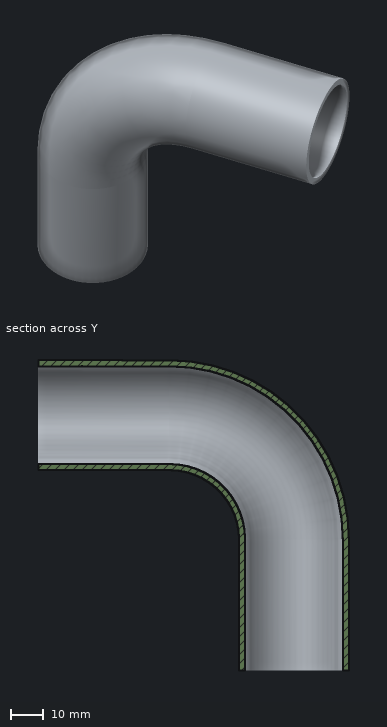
import cadquery as cq

outer_diameter = 33.7
bore_diameter = 29.7
bend_radius = 38.0
leg_length = 40.0
bend_angle = 90.0


def swept_elbow(diameter):
    """Solid elbow: a leg rising along Z, a bend, then a leg running along +X."""
    radius = diameter / 2
    lower_leg = cq.Workplane("XY").circle(radius).extrude(leg_length)

    bend = (
        cq.Workplane("XY", origin=(0, 0, leg_length))
        .circle(radius)
        .revolve(bend_angle, (bend_radius, 0), (bend_radius, 1))
    )

    upper_leg = (
        cq.Workplane("YZ", origin=(bend_radius, 0, leg_length + bend_radius))
        .circle(radius)
        .extrude(leg_length)
    )
    return lower_leg.union(bend).union(upper_leg)


result = swept_elbow(outer_diameter).cut(swept_elbow(bore_diameter))